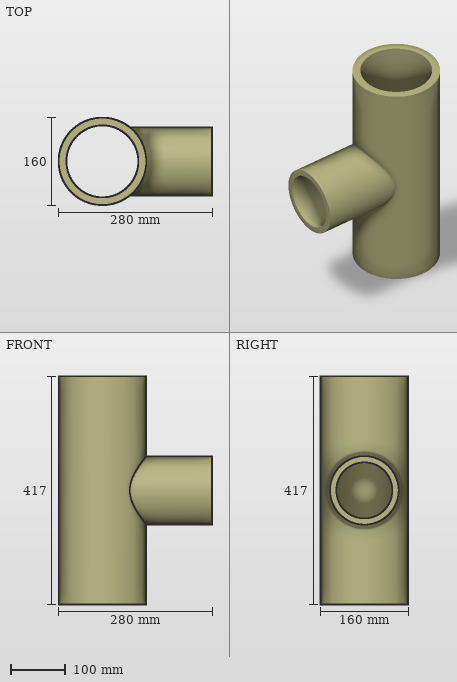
import cadquery as cq

main_diameter = 160.0
main_wall = 14.6
main_length = 417.0

branch_diameter = 125.0
branch_wall = 11.4
branch_reach = 200.0


def main_cylinder(diameter):
    """Vertical cylinder over the full main length, centred on the origin."""
    return cq.Workplane("XY").circle(diameter / 2).extrude(main_length / 2, both=True)


def branch_cylinder(diameter):
    """Horizontal cylinder from the main axis to the branch end."""
    return cq.Workplane("YZ").circle(diameter / 2).extrude(branch_reach)


outer_body = main_cylinder(main_diameter).union(branch_cylinder(branch_diameter))
main_bore = main_cylinder(main_diameter - 2 * main_wall)
branch_bore = branch_cylinder(branch_diameter - 2 * branch_wall)

result = outer_body.cut(main_bore).cut(branch_bore)